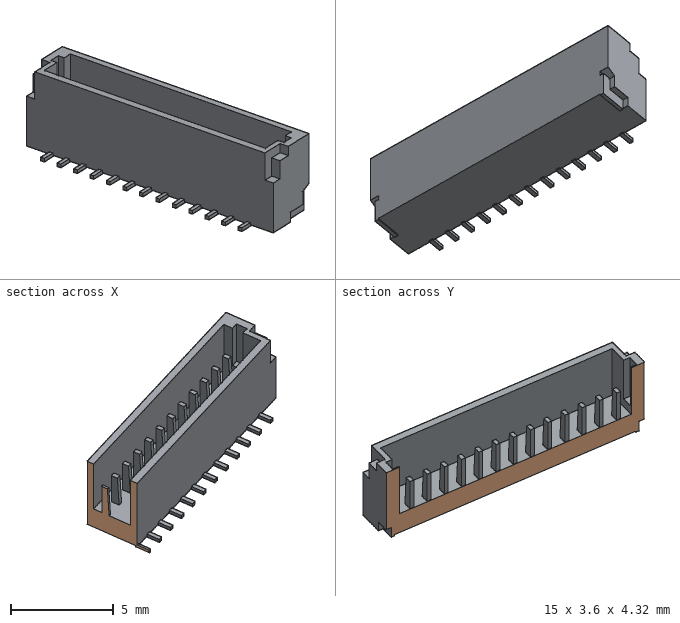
import cadquery as cq


length = 15.0
depth = 2.9
height = 4.25
front_y = -depth

contact_count = 13
pitch = 1.0
contact_width = 0.22
foot_thickness = 0.2
foot_reach = 0.7
foot_inset = 0.1
standoff = 0.07
pin_rear_y = -0.83
pin_thickness = 0.45
pin_top = 3.0
pin_taper = 0.1

pocket_length = 13.44
pocket_rear_y = -0.38
pocket_front_wall = 0.4
pocket_floor = 1.25
key_slot_end_wall = 0.42
key_slot_rear_y = -0.88
key_slot_width = 0.6
key_slot_floor = 1.75

corner_cut_width = 0.5
upper_step_length = 1.22
upper_step_drop = 0.5
lower_step_length = 0.54
lower_step_drop = 1.5

recess_width = 0.5
tab_thickness = 0.2
tab_leg_depth = 0.5
tab_leg_top = 1.25
tab_foot_depth = 1.5
tab_foot_top = 0.55
recess_rear_top = 1.5


def box(x_min, x_max, y_min, y_max, z_min, z_max):
    """Box given by its limits along each axis."""
    size = (x_max - x_min, y_max - y_min, z_max - z_min)
    return cq.Workplane("XY").box(*size, centered=False).translate((x_min, y_min, z_min))


def extrude_profile(points, x_min, thickness):
    """Extrude a closed (Y, Z) outline along +X."""
    return cq.Workplane("YZ", origin=(x_min, 0, 0)).polyline(points).close().extrude(thickness)


def both_ends(left_shape):
    """The shape and its mirror image at the other end of the housing."""
    return left_shape.union(left_shape.mirror("YZ"))


def make_pocket():
    """Open-topped mating pocket with a key slot in each end wall."""
    main = box(
        -pocket_length / 2, pocket_length / 2,
        front_y + pocket_front_wall, pocket_rear_y,
        pocket_floor, height,
    )
    key_slot_x = length / 2 - key_slot_end_wall
    key_slots = box(
        -key_slot_x, key_slot_x,
        key_slot_rear_y - key_slot_width, key_slot_rear_y,
        key_slot_floor, height,
    )
    return main.union(key_slots)


def make_corner_cuts():
    """Two-step cutouts in the upper front corners."""
    outline = [
        (front_y, height),
        (front_y + upper_step_length, height),
        (front_y + upper_step_length, height - upper_step_drop),
        (front_y + lower_step_length, height - upper_step_drop),
        (front_y + lower_step_length, height - lower_step_drop),
        (front_y, height - lower_step_drop),
    ]
    return both_ends(extrude_profile(outline, -length / 2, corner_cut_width))


def make_tab_recesses():
    """L-shaped recesses with a sloping roof in the lower rear corners."""
    outline = [
        (0, 0),
        (0, recess_rear_top),
        (-tab_leg_depth, tab_leg_top),
        (-tab_leg_depth, tab_foot_top),
        (-tab_foot_depth, tab_foot_top),
        (-tab_foot_depth, 0),
    ]
    return both_ends(extrude_profile(outline, -length / 2, recess_width))


def make_tabs():
    """L-shaped solder tabs lying against the inner walls of the recesses."""
    outline = [
        (0, -standoff),
        (0, tab_leg_top),
        (-tab_leg_depth, tab_leg_top),
        (-tab_leg_depth, tab_foot_top),
        (-tab_foot_depth, tab_foot_top),
        (-tab_foot_depth, -standoff),
    ]
    tab_x = -length / 2 + recess_width - tab_thickness
    return both_ends(extrude_profile(outline, tab_x, tab_thickness))


def make_contact(x):
    """Solder foot at the front and mating pin in the pocket, centred on x."""
    x_min = x - contact_width / 2
    foot = box(
        x_min, x_min + contact_width,
        front_y - foot_reach, front_y + foot_inset,
        -standoff, foot_thickness - standoff,
    )
    pin_front_y = pin_rear_y - pin_thickness
    pin_outline = [
        (pin_rear_y, pocket_floor),
        (pin_rear_y, pin_top),
        (pin_front_y + pin_taper, pin_top),
        (pin_front_y, pocket_floor),
    ]
    return foot.union(extrude_profile(pin_outline, x_min, contact_width))


housing = box(-length / 2, length / 2, front_y, 0, 0, height)
housing = housing.cut(make_pocket()).cut(make_corner_cuts()).cut(make_tab_recesses())

result = housing.union(make_tabs())
for index in range(contact_count):
    contact_x = (index - (contact_count - 1) / 2) * pitch
    result = result.union(make_contact(contact_x))